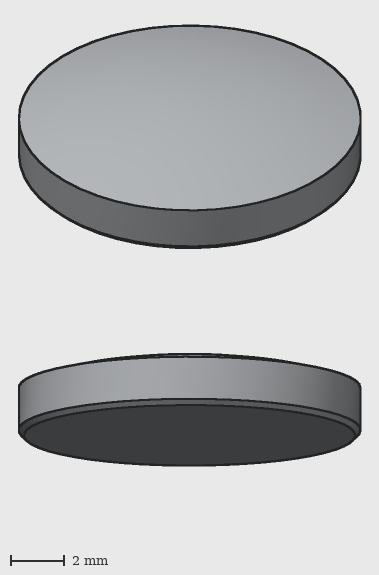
import cadquery as cq

diameter = 12.7
center_thickness = 2.69
edge_thickness = 1.79
chamfer = 0.2

radius = diameter / 2
sag = center_thickness - edge_thickness
dome_radius = (radius**2 + sag**2) / (2 * sag)


def lens_blank():
    """Cylinder tall enough to hold the whole dome, with its flat-side rim chamfered."""
    blank = cq.Workplane("XY").circle(radius).extrude(center_thickness)
    return blank.faces("<Z").edges().chamfer(chamfer)


def dome_sphere():
    """Sphere whose top touches the lens vertex and forms the convex face."""
    return cq.Workplane("XY").sphere(dome_radius).translate((0, 0, center_thickness - dome_radius))


result = lens_blank().intersect(dome_sphere())